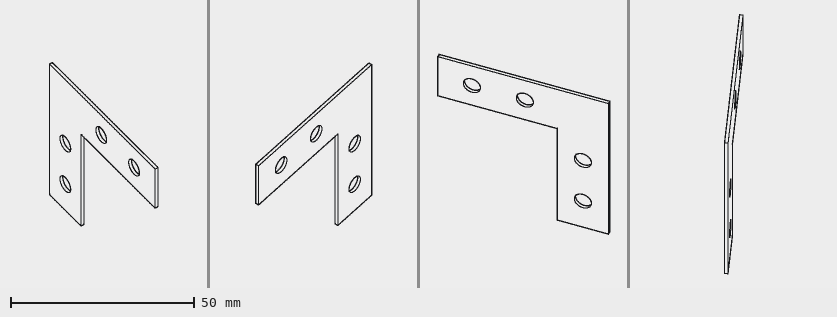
import cadquery as cq

leg_length = 50.0
leg_width = 15.0
thickness = 1.0
hole_diameter = 5.0
hole_end_distance = 10.0
hole_spacing = 15.5

outer_hole = leg_length - hole_end_distance
inner_hole = outer_hole - hole_spacing
leg_middle = leg_width / 2


def angle_plate():
    """Flat L-shaped plate in XZ, with its outer corner at the origin."""
    outline = [
        (0, 0),
        (leg_length, 0),
        (leg_length, -leg_width),
        (leg_width, -leg_width),
        (leg_width, -leg_length),
        (0, -leg_length),
    ]
    return cq.Workplane("XZ").polyline(outline).close().extrude(thickness)


def screw_holes():
    """Two cylinders on the centreline of each leg, cutting right through."""
    centres = []
    for distance in (inner_hole, outer_hole):
        centres.append((distance, -leg_middle))
        centres.append((leg_middle, -distance))
    return cq.Workplane("XZ").pushPoints(centres).circle(hole_diameter / 2).extrude(thickness)


result = angle_plate().cut(screw_holes())